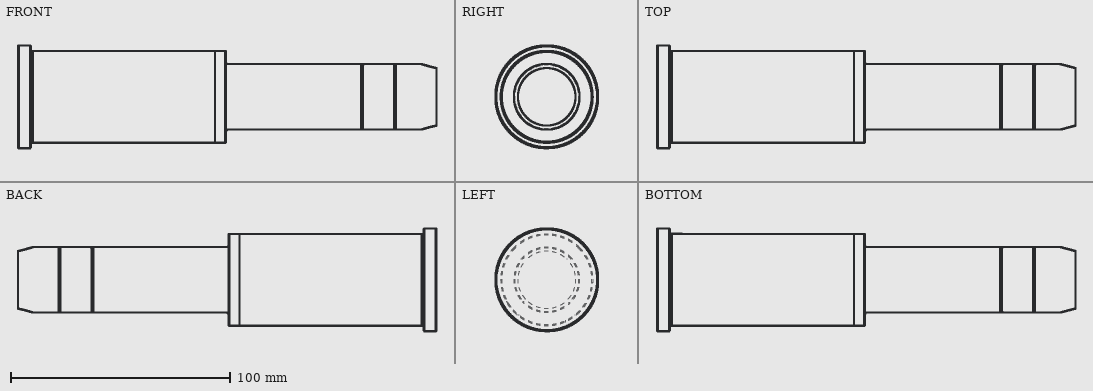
import cadquery as cq
import math

total_length = 191.0

flange_diameter = 47.0
flange_length = 6.0
flange_chamfer = 0.5

body_diameter = 42.0
body_end = 95.0
body_chamfer = 0.5
lead_length = 5.0
lead_clearance = 0.005

pin_diameter = 30.0
root_fillet = 0.5
tip_length = 7.0
tip_angle = 15.0

groove_radius = 0.5
relief_center = flange_length + groove_radius
pin_groove_centers = (157.0, 172.0)


def make_shaft():
    """Revolve the half section (distance along X, radius along Y) about the X axis."""
    flange_radius = flange_diameter / 2
    body_radius = body_diameter / 2
    pin_radius = pin_diameter / 2
    tip_radius = pin_radius - tip_length * math.tan(math.radians(tip_angle))

    lead_start = body_end - lead_length
    lead_radius = body_radius - lead_clearance

    fillet_end = body_end + root_fillet
    fillet_top = pin_radius + root_fillet
    arc_offset = root_fillet * math.sqrt(0.5)
    fillet_middle = (fillet_end - arc_offset, fillet_top - arc_offset)

    profile = (
        cq.Workplane("XY")
        .moveTo(0, 0)
        .lineTo(0, flange_radius - flange_chamfer)
        .lineTo(flange_chamfer, flange_radius)
        .lineTo(flange_length - flange_chamfer, flange_radius)
        .lineTo(flange_length, flange_radius - flange_chamfer)
        .lineTo(flange_length, body_radius)
        .lineTo(lead_start, body_radius)
        .lineTo(lead_start, lead_radius)
        .lineTo(body_end - body_chamfer, lead_radius)
        .lineTo(body_end, lead_radius - body_chamfer)
        .lineTo(body_end, fillet_top)
        .threePointArc(fillet_middle, (fillet_end, pin_radius))
        .lineTo(total_length - tip_length, pin_radius)
        .lineTo(total_length, tip_radius)
        .lineTo(total_length, 0)
        .close()
    )
    return profile.revolve(360, (0, 0, 0), (1, 0, 0))


def ring_groove(center, diameter):
    """Round-section ring to cut away, centred on a surface of the given diameter."""
    ring_radius = diameter / 2
    axis_point = cq.Vector(center, 0, 0)
    axis_direction = cq.Vector(1, 0, 0)
    return cq.Solid.makeTorus(ring_radius, groove_radius, axis_point, axis_direction)


result = make_shaft()
result = result.cut(ring_groove(relief_center, body_diameter))
for pin_groove_center in pin_groove_centers:
    result = result.cut(ring_groove(pin_groove_center, pin_diameter))